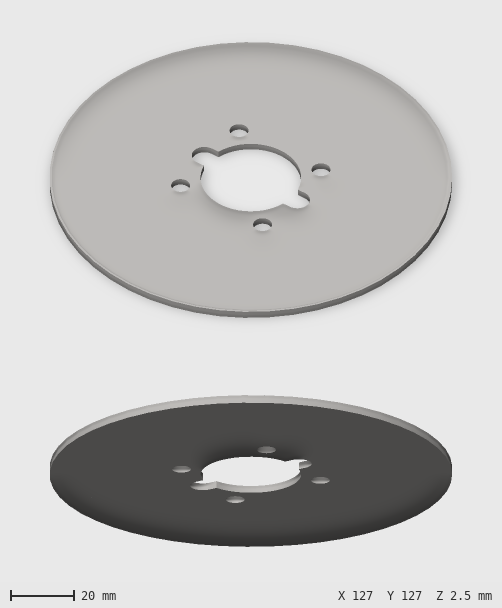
import cadquery as cq
import math

outer_radius = 63.5
thickness = 2.5

floor_height = 2.3
flange_thickness = 0.1
dish_start_radius = 61.9
lip_inner_radius = 62.9

ring_inner_radius = 54.2

bore_diameter = 31.8
slot_width = 8.0
slot_tip_to_tip = 44.0
bolt_hole_diameter = 6.0
bolt_spacing = 31.8

dish_width = lip_inner_radius - dish_start_radius
dish_rise = thickness - floor_height
dish_arc_radius = (dish_width**2 + dish_rise**2) / (2 * dish_rise)
dish_half_angle = math.asin(dish_width / dish_arc_radius) / 2
dish_mid_radius = dish_start_radius + dish_arc_radius * math.sin(dish_half_angle)
dish_mid_rise = dish_arc_radius * (1 - math.cos(dish_half_angle))

seat_height = floor_height - flange_thickness
lip_seat_height = thickness - flange_thickness


def revolve_about_z(profile):
    """Turn a closed radius-height profile into a solid about the Z axis."""
    return profile.close().revolve(360, (0, 0, 0), (0, 1, 0))


def dished_profile(inner_radius, floor, lip):
    """Half section from the base plane up to a floor, a concave sweep and a flat lip."""
    return (
        cq.Workplane("XZ")
        .moveTo(inner_radius, 0)
        .lineTo(inner_radius, floor)
        .lineTo(dish_start_radius, floor)
        .threePointArc((dish_mid_radius, floor + dish_mid_rise), (lip_inner_radius, lip))
        .lineTo(outer_radius, lip)
        .lineTo(outer_radius, 0)
    )


def make_rim_ring():
    """Ring that fills the space below the flange."""
    return revolve_about_z(dished_profile(ring_inner_radius, seat_height, lip_seat_height))


def make_hub_openings():
    """Centre bore with two round-ended lobes, and four bolt holes."""
    bore = cq.Workplane("XY").circle(bore_diameter / 2).extrude(thickness)
    lobes = cq.Workplane("XY").slot2D(slot_tip_to_tip, slot_width).extrude(thickness)
    bolt_holes = (
        cq.Workplane("XY")
        .rect(bolt_spacing, bolt_spacing, forConstruction=True)
        .vertices()
        .circle(bolt_hole_diameter / 2)
        .extrude(thickness)
    )
    return bore.union(lobes).union(bolt_holes)


def make_hub_plate(ring):
    """Round plate with a thin dished flange that covers the ring."""
    plate = revolve_about_z(dished_profile(0, floor_height, thickness))
    return plate.cut(ring).cut(make_hub_openings())


rim_ring = make_rim_ring()
hub_plate = make_hub_plate(rim_ring)

result = cq.Compound.makeCompound([rim_ring.val(), hub_plate.val()])